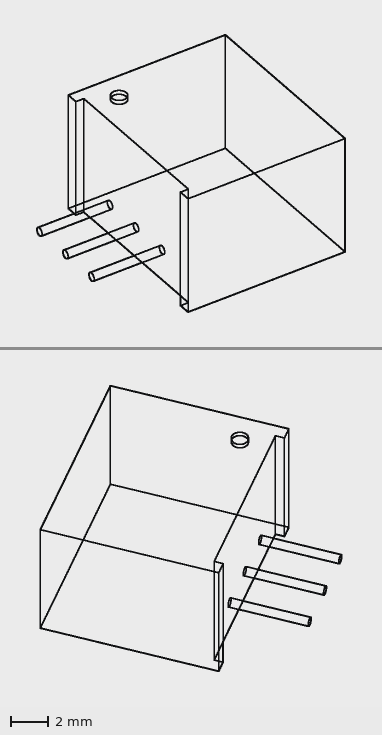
import cadquery as cq

case_width = 11.68
case_length = 10.2
case_height = 7.5

rail_width = 0.74
recess_depth = 0.51

pin_count = 3
pin_diameter = 0.51
pin_pitch = 2.54
pin_height = 1.98
overall_length = 14.26
pin_overhang = overall_length - case_length

marker_diameter = 0.94
marker_depth = 0.25
marker_from_side = 1.55
marker_from_front = 2.27


def make_case():
    """Block centred on X = 0, with its rail fronts at Y = 0 and its base at Z = 0."""
    block = cq.Workplane("XY").box(case_width, case_length, case_height, centered=(True, False, False))
    recess_width = case_width - 2 * rail_width
    recess = cq.Workplane("XY").box(recess_width, recess_depth, case_height, centered=(True, False, False))
    return block.cut(recess)


def make_marker():
    """Cutter for the dimple, sunk from the top face."""
    return (
        cq.Workplane("XY", origin=(0, 0, case_height - marker_depth))
        .center(marker_from_side - case_width / 2, marker_from_front)
        .circle(marker_diameter / 2)
        .extrude(marker_depth)
    )


def make_pin(x):
    """Pin running from the recessed face out past the rails."""
    return (
        cq.Workplane("XZ", origin=(x, recess_depth, pin_height))
        .circle(pin_diameter / 2)
        .extrude(recess_depth + pin_overhang)
    )


result = make_case().cut(make_marker())
for index in range(pin_count):
    pin_x = (index - (pin_count - 1) / 2) * pin_pitch
    result = result.union(make_pin(pin_x))